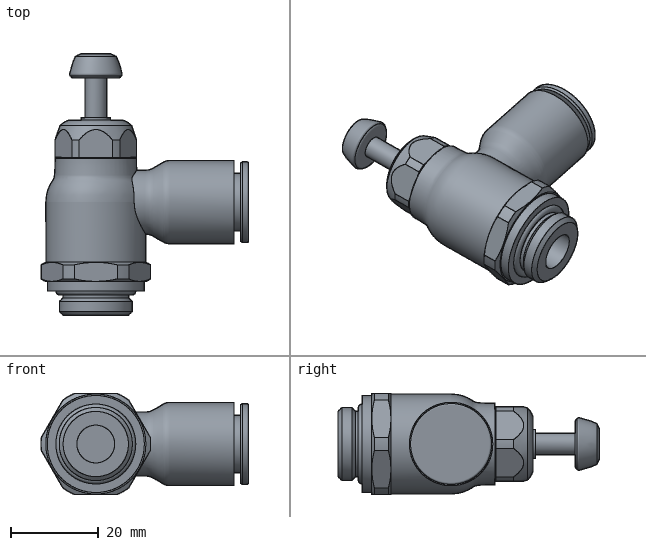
import cadquery as cq
import math


thread_radius = 8.33
thread_chamfer = 0.9
thread_length = 3.15
neck_radius = 7.5
neck_start = thread_length + thread_radius - neck_radius
seal_radius = 9.1
seal_round = 0.9
seat_y = 5.5
bore_radius = 4.3
bore_depth = 12.0

flange_radius = 11.05
hex_start = 7.65
hex_end = 12.12
hex_flats = 23.0
hex_corner_radius = 12.5
hex_chamfer_angle = 30.0

body_radius = 11.4
branch_y = 25.75
shoulder_arc = 8.6
shoulder_angle = math.radians(34.6)
blend_arc = 2.5
blend_angle = math.radians(28.6)
collar_radius = 9.3
collar_end = 35.7

gap_radius = 7.9
nut_start = 35.95
nut_flats = 17.0
nut_corner_radius = 9.3
nut_taper_start = 39.95
nut_taper_radius = 8.2
nut_round_start = 43.15
nut_round_mid = (7.38, 43.85)
nut_face_radius = 6.2
nut_end = 44.42
nut_lip_radius = 3.35
nut_lip_end = 44.97

stem_radius = 2.5
knob_start = 54.0
knob_base_radius = 5.2
knob_radius = 6.0
knob_rim_y = 54.95
knob_base_round_mid = (5.53, 54.14)
knob_groove = (5.7, 54.42)
knob_rim_round_mid = (5.95, 54.65)
knob_side_mid = (5.42, 57.15)
knob_shoulder_radius = 4.65
knob_shoulder_y = 58.95
knob_top_radius = 3.4
knob_top = 59.54

branch_neck_radius = 7.32
branch_radius = 9.5
branch_cone_angle = math.radians(30.0)
branch_flare_start = body_radius
branch_flare_arc = 3.24
branch_round_arc = 2.8
branch_end = 31.5
release_neck_radius = 6.6
release_flange_start = 32.9
release_radius = 9.22
release_chamfer_radial = 0.3
release_chamfer_axial = 0.5
release_end_round = 0.4
release_end = 34.77


def revolve_main(profile):
    """Turn a closed (radius, y) profile about the main Y axis."""
    return profile.close().revolve(360, (0, 0, 0), (0, 1, 0))


def hexagon(flats, start, end):
    """Hexagonal prism along Y with two flats facing +Z and -Z."""
    across_corners = flats / math.cos(math.radians(30))
    prism = cq.Workplane("XZ").polygon(6, across_corners).extrude(start - end)
    return prism.translate((0, start, 0))


def spigot():
    seal_center_radius = seal_radius - seal_round
    seal_inner_y = seat_y - math.sqrt(seal_round**2 - (seal_center_radius - neck_radius) ** 2)
    profile = (
        cq.Workplane("XY")
        .moveTo(0, 0)
        .lineTo(thread_radius - thread_chamfer, 0)
        .lineTo(thread_radius, thread_chamfer)
        .lineTo(thread_radius, thread_length)
        .lineTo(neck_radius, neck_start)
        .lineTo(neck_radius, seal_inner_y)
        .threePointArc((seal_center_radius, seat_y - seal_round), (seal_radius, seat_y))
        .lineTo(flange_radius, seat_y)
        .lineTo(flange_radius, hex_start)
        .lineTo(0, hex_start)
    )
    return revolve_main(profile)


def large_hexagon():
    chamfer_height = (hex_corner_radius - body_radius) * math.tan(math.radians(hex_chamfer_angle))
    profile = (
        cq.Workplane("XY")
        .moveTo(0, hex_start)
        .lineTo(body_radius, hex_start)
        .lineTo(hex_corner_radius, hex_start + chamfer_height)
        .lineTo(hex_corner_radius, hex_end - chamfer_height)
        .lineTo(body_radius, hex_end)
        .lineTo(0, hex_end)
    )
    return revolve_main(profile).intersect(hexagon(hex_flats, hex_start, hex_end))


def barrel():
    def shoulder_point(angle):
        return (
            body_radius - shoulder_arc * (1 - math.cos(angle)),
            branch_y + shoulder_arc * math.sin(angle),
        )

    shoulder_end = shoulder_point(shoulder_angle)
    blend_center = (
        shoulder_end[0] + blend_arc * math.cos(shoulder_angle),
        shoulder_end[1] + blend_arc * math.sin(shoulder_angle),
    )

    def blend_point(angle):
        return (
            blend_center[0] - blend_arc * math.cos(angle),
            blend_center[1] - blend_arc * math.sin(angle),
        )

    profile = (
        cq.Workplane("XY")
        .moveTo(0, hex_end)
        .lineTo(body_radius, hex_end)
        .lineTo(body_radius, branch_y)
        .threePointArc(shoulder_point(shoulder_angle / 2), shoulder_end)
        .threePointArc(
            blend_point(shoulder_angle - blend_angle / 2),
            blend_point(shoulder_angle - blend_angle),
        )
        .tangentArcPoint((collar_radius, collar_end), relative=False)
        .lineTo(gap_radius, collar_end)
        .lineTo(gap_radius, nut_start)
        .lineTo(0, nut_start)
    )
    return revolve_main(profile)


def adjusting_nut():
    profile = (
        cq.Workplane("XY")
        .moveTo(0, nut_start)
        .lineTo(nut_corner_radius, nut_start)
        .lineTo(nut_corner_radius, nut_taper_start)
        .lineTo(nut_taper_radius, nut_round_start)
        .threePointArc(nut_round_mid, (nut_face_radius, nut_end))
        .lineTo(nut_lip_radius, nut_end)
        .lineTo(nut_lip_radius, nut_lip_end)
        .lineTo(0, nut_lip_end)
    )
    return revolve_main(profile).intersect(hexagon(nut_flats, nut_start, nut_lip_end))


def stem_and_knob():
    profile = (
        cq.Workplane("XY")
        .moveTo(0, nut_lip_end)
        .lineTo(stem_radius, nut_lip_end)
        .lineTo(stem_radius, knob_start)
        .lineTo(knob_base_radius, knob_start)
        .threePointArc(knob_base_round_mid, knob_groove)
        .threePointArc(knob_rim_round_mid, (knob_radius, knob_rim_y))
        .threePointArc(knob_side_mid, (knob_shoulder_radius, knob_shoulder_y))
        .lineTo(knob_top_radius, knob_top)
        .lineTo(0, knob_top)
    )
    return revolve_main(profile)


def branch():
    def flare_point(angle):
        return (
            branch_flare_start + branch_flare_arc * math.sin(angle),
            branch_neck_radius + branch_flare_arc * (1 - math.cos(angle)),
        )

    cone_start = flare_point(branch_cone_angle)
    cone_end_radius = branch_radius - branch_round_arc * (1 - math.cos(branch_cone_angle))
    cone_length = (cone_end_radius - cone_start[1]) / math.tan(branch_cone_angle)
    cone_end = (cone_start[0] + cone_length, cone_end_radius)
    round_end_x = cone_end[0] + branch_round_arc * math.sin(branch_cone_angle)

    def round_point(angle):
        return (
            round_end_x - branch_round_arc * math.sin(angle),
            branch_radius - branch_round_arc * (1 - math.cos(angle)),
        )

    profile = (
        cq.Workplane("XY", origin=(0, branch_y, 0))
        .moveTo(0, 0)
        .lineTo(0, branch_neck_radius)
        .lineTo(branch_flare_start, branch_neck_radius)
        .threePointArc(flare_point(branch_cone_angle / 2), cone_start)
        .lineTo(*cone_end)
        .threePointArc(round_point(branch_cone_angle / 2), (round_end_x, branch_radius))
        .lineTo(branch_end, branch_radius)
        .lineTo(branch_end, release_neck_radius)
        .lineTo(release_flange_start, release_neck_radius)
        .lineTo(release_flange_start, release_radius - release_chamfer_radial)
        .lineTo(release_flange_start + release_chamfer_axial, release_radius)
        .lineTo(release_end, release_radius)
        .lineTo(release_end, 0)
        .close()
    )
    solid = profile.revolve(360, (0, 0, 0), (1, 0, 0))
    return solid.faces(">X").edges().fillet(release_end_round)


def bore():
    """Blind hole entering from the threaded end."""
    return cq.Workplane("XZ").circle(bore_radius).extrude(-bore_depth)


result = (
    spigot()
    .union(large_hexagon())
    .union(barrel())
    .union(adjusting_nut())
    .union(stem_and_knob())
    .union(branch())
    .cut(bore())
)